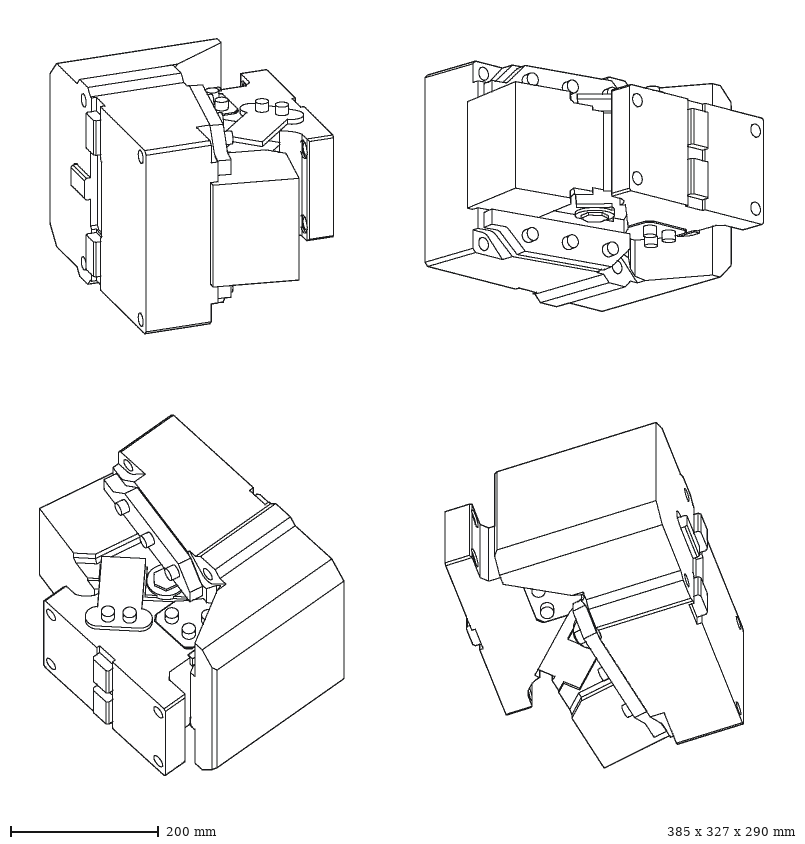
import cadquery as cq
import math

SLOPE_DEG = 10.0
WALL_DEG = 30.0
SIDE_HALF = 75.0
SHUT_HEIGHT = 309.0
KEY_WIDTH = 32.0
KEY_PROUD = 9.0
KEY_CHAMFER = 3.0
SCREW_HEAD_DIAMETER = 18.0
SCREW_HEAD_HEIGHT = 12.5
BOLT_DIAMETER = 18.0

slope = math.tan(math.radians(SLOPE_DEG))
wall_lean = math.tan(math.radians(WALL_DEG))

HOUSING_LEFT = -170.0
HOUSING_RIGHT = 185.0
HOUSING_HALF = 135.0
HOUSING_HEIGHT = 234.0
LEFT_CORNER_CHAMFER = 25.0
RIGHT_CORNER_CHAMFER = 5.0
TOP_EDGE_CHAMFER = 5.0
WALL_TOP_X = -130.0
VALLEY_Y = 139.5
SLOPE_START_X = -55.5
SLOPE_START_Y = 147.5
HEEL_PLATE_WIDTH = 9.0
HEEL_PLATE_HALF = 60.0

EAR_LEFT = -70.0
EAR_RIGHT = -20.0
EAR_PROUD = 10.0
EAR_HEIGHT = 136.0

BOLT_Z = 120.0
LEFT_BOLT_X = -45.0
RIGHT_BOLT_X = 165.0
RIGHT_SEAT_X = 167.5
RIGHT_SEAT_Y = 95.0
SEAT_RADIUS = 16.0

KEY_SLOT_DEPTH = 7.0
CENTRE_SLOT_WIDTH = 40.0
CENTRE_SLOT_LENGTH = 120.0
CENTRE_SLOT_CHAMFER = 5.0
CENTRE_SLOT_DEPTH = 10.0
SIDE_KEY_START_X = -70.0
HOUSING_KEY_LENGTH = 51.0
HOUSING_KEY_Z = 89.5

GIB_START_X = -45.0
GIB_LENGTH = 224.0
GIB_THICKNESS = 20.0
GIB_INNER_Z = 80.0
GIB_OUTER_Z = 131.0
GIB_CHAMFER = 30.0
GIB_NOTCH_START = 170.0
GIB_NOTCH_DROP = 27.0
GIB_NOTCH_RADIUS = 9.0
GIB_SCREWS = (36.0, 101.0, 166.0)
GIB_SCREW_Z = 109.0

FLANGE_LEFT = -155.0
FLANGE_RIGHT = 95.0
FLANGE_CENTRE = (FLANGE_LEFT + FLANGE_RIGHT) / 2
FLANGE_THICKNESS = 38.0
FLANGE_CHAMFER = 3.0
FLANGE_BOLT_SPACING_X = 220.0
FLANGE_BOLT_SPACING_Z = 110.0
SPOTFACE_DIAMETER = 25.0
SPOTFACE_DEPTH = 3.0
STEM_LEFT = -110.0
STEM_CHAMFER = 9.0
THROAT_TOP_X = 74.0
THROAT_MIDDLE = (60.7, 261.5)
THROAT_END = (53.5, 246.5)
DRIVE_FACE_OFFSET = 203.5
DRIVE_FACE_SUM = 300.0
DRIVER_KEY_SLOT_DEPTH = 5.0
DRIVER_KEY_LENGTH = 50.0
DRIVER_KEY_Z = 35.0

PAD_LEFT = -115.0
PAD_RIGHT = -105.5
PAD_TOP = 225.0
PLATE_RISE = 2.0

GUIDE_LEFT = -100.5
GUIDE_RIGHT = -25.5
GUIDE_TOP = 220.5
GUIDE_CHAMFER = 9.0
GUIDE_EDGE_STEP = 2.5
GUIDE_SCREWS = ((-80.0, 201.0), (-45.0, 201.0), (-80.0, 166.0))

LEVER_CENTRE = (1.1, 256.1)
LEVER_THICKNESS = 7.0
LEVER_END_RADIUS = 16.5
LEVER_HEAD_SPAN = 58.0
LEVER_WIDTH = 60.0
LEVER_REACH = 102.0
LEVER_SCREW_SPACING = 29.5

NOSE_BOTTOM_X = -48.0
NOSE_TOP_X = -29.8
SHOULDER_OFFSET = 161.0
HEAD_TOP_X = 74.3
HEAD_TOP_Y = 236.0
HEAD_RIGHT_X = 215.0
HEAD_TOE_X = 194.3
HEAD_TOE_Y = 94.0
BODY_HALF = 60.0
HEAD_WALL_OFFSET = 99.0
HEAD_WALL_CORNER_X = 106.5
HEAD_FOOT_CHAMFER = 5.0
STEP_DEPTH = 5.0
RECESS_END_OFFSET = 107.0
RECESS_CLEARANCE = 2.0
FACE_PLATE_OFFSET = 174.5
LEDGE_OFFSET = 141.0
BOLT_BOSS = (16.4, 157.0)
BOLT_BOSS_RADIUS = 26.5
BOLT_HEX_RADIUS = 18.8
BOLT_HEX_TURN = 19.0
BOLT_BOSS_HEIGHT = 4.0


def slope_y(x):
    """Height of the slide surface at x."""
    return SLOPE_START_Y - (x - SLOPE_START_X) * slope


def wall_x(y):
    """Position of the bare heel wall at height y."""
    return WALL_TOP_X + (HOUSING_HEIGHT - y) * wall_lean


def wall_y(x):
    """Height of the bare heel wall at x."""
    return HOUSING_HEIGHT - (x - WALL_TOP_X) / wall_lean


def plate_x(y):
    """Position of the heel wear plate surface at height y."""
    return wall_x(y) + HEEL_PLATE_WIDTH


def diagonal_point(offset, total):
    """Point with y - x = offset and x + y = total."""
    return ((total - offset) / 2, (total + offset) / 2)


def slab(points, half_width):
    """Outline in X and Y, extruded both ways from the mid plane."""
    return cq.Workplane("XY").polyline(points).close().extrude(half_width, both=True)


def layer(points, z_low, z_high):
    """Outline in X and Y, extruded from z_low to z_high."""
    return cq.Workplane("XY", origin=(0, 0, z_low)).polyline(points).close().extrude(z_high - z_low)


def box(x_range, y_range, z_range):
    sizes = [high - low for low, high in (x_range, y_range, z_range)]
    corner = (x_range[0], y_range[0], z_range[0])
    return cq.Workplane("XY").box(*sizes, centered=False).translate(corner)


def along_y(y):
    """Sketch plane at height y, sketched in X and Z; a negative extrusion goes to +Y."""
    return cq.Workplane("XZ", origin=(0, y, 0))


def screw_heads(points, z):
    plane = cq.Workplane("XY", origin=(0, 0, z)).pushPoints(points)
    return plane.circle(SCREW_HEAD_DIAMETER / 2).extrude(SCREW_HEAD_HEIGHT)


def both_sides(shape):
    return shape.union(shape.mirror("XY"))


def housing_block():
    block = slab(
        [
            (HOUSING_LEFT, 0),
            (HOUSING_LEFT, HOUSING_HEIGHT - TOP_EDGE_CHAMFER),
            (HOUSING_LEFT + TOP_EDGE_CHAMFER, HOUSING_HEIGHT),
            (WALL_TOP_X, HOUSING_HEIGHT),
            (wall_x(VALLEY_Y), VALLEY_Y),
            (plate_x(VALLEY_Y), VALLEY_Y),
            (SLOPE_START_X, SLOPE_START_Y),
            (HOUSING_RIGHT, slope_y(HOUSING_RIGHT)),
            (HOUSING_RIGHT, 0),
        ],
        HOUSING_HALF,
    )
    left_in = HOUSING_LEFT + LEFT_CORNER_CHAMFER
    right_in = HOUSING_RIGHT - RIGHT_CORNER_CHAMFER
    left_z = HOUSING_HALF - LEFT_CORNER_CHAMFER
    right_z = HOUSING_HALF - RIGHT_CORNER_CHAMFER
    footprint = [
        (HOUSING_LEFT, -left_z),
        (HOUSING_LEFT, left_z),
        (left_in, HOUSING_HALF),
        (right_in, HOUSING_HALF),
        (HOUSING_RIGHT, right_z),
        (HOUSING_RIGHT, -right_z),
        (right_in, -HOUSING_HALF),
        (left_in, -HOUSING_HALF),
    ]
    return block.intersect(along_y(0).polyline(footprint).close().extrude(-HOUSING_HEIGHT))


def heel_plate():
    """Wear plate on the leaning wall, between the side cheeks of the driver."""
    return slab(
        [
            (WALL_TOP_X, HOUSING_HEIGHT),
            (plate_x(HOUSING_HEIGHT), HOUSING_HEIGHT),
            (plate_x(VALLEY_Y), VALLEY_Y),
            (wall_x(VALLEY_Y), VALLEY_Y),
        ],
        HEEL_PLATE_HALF,
    )


def ears():
    outer = HOUSING_HALF + EAR_PROUD
    outline = [
        (EAR_LEFT, HOUSING_HALF),
        (EAR_LEFT + EAR_PROUD, outer),
        (EAR_RIGHT - EAR_PROUD, outer),
        (EAR_RIGHT, HOUSING_HALF),
    ]
    return both_sides(along_y(0).polyline(outline).close().extrude(-EAR_HEIGHT))


def left_bolt_seat():
    """Clearance over the bolts in the ears: a round-bottomed 90 degree V that opens outwards."""
    side = SEAT_RADIUS / math.sqrt(2)
    top = HOUSING_HALF + EAR_PROUD
    reach = side + top - (BOLT_Z - side)
    outline = (
        along_y(EAR_HEIGHT)
        .moveTo(LEFT_BOLT_X - reach, top)
        .lineTo(LEFT_BOLT_X - side, BOLT_Z - side)
        .threePointArc((LEFT_BOLT_X, BOLT_Z - SEAT_RADIUS), (LEFT_BOLT_X + side, BOLT_Z - side))
        .lineTo(LEFT_BOLT_X + reach, top)
        .close()
    )
    return both_sides(outline.extrude(-HOUSING_HEIGHT))


def right_bolt_seat():
    """Clearance over the bolts at the right end: sloping in, then flat out to the end face."""
    side = SEAT_RADIUS / math.sqrt(2)
    mid_side = SEAT_RADIUS * math.sin(math.pi / 8)
    mid_drop = SEAT_RADIUS * math.cos(math.pi / 8)
    reach = side + HOUSING_HALF - (BOLT_Z - side)
    outline = (
        along_y(RIGHT_SEAT_Y)
        .moveTo(RIGHT_SEAT_X - reach, HOUSING_HALF)
        .lineTo(RIGHT_SEAT_X - side, BOLT_Z - side)
        .threePointArc((RIGHT_SEAT_X - mid_side, BOLT_Z - mid_drop), (RIGHT_SEAT_X, BOLT_Z - SEAT_RADIUS))
        .lineTo(HOUSING_RIGHT, BOLT_Z - SEAT_RADIUS)
        .lineTo(HOUSING_RIGHT, HOUSING_HALF)
        .close()
    )
    return both_sides(outline.extrude(-HOUSING_HEIGHT))


def housing_bolt_holes():
    centres = [(x, z) for x in (LEFT_BOLT_X, RIGHT_BOLT_X) for z in (-BOLT_Z, BOLT_Z)]
    return along_y(0).pushPoints(centres).circle(BOLT_DIAMETER / 2).extrude(-HOUSING_HEIGHT)


def housing_key_slots():
    half = KEY_WIDTH / 2
    long_slot = along_y(0).rect(KEY_WIDTH, 2 * HOUSING_HALF).extrude(-KEY_SLOT_DEPTH)
    centre_slot = along_y(0).rect(CENTRE_SLOT_WIDTH, CENTRE_SLOT_LENGTH).extrude(-CENTRE_SLOT_DEPTH)
    centre_slot = centre_slot.edges("|Y").chamfer(CENTRE_SLOT_CHAMFER)
    side_slot = (
        along_y(0)
        .moveTo(0, half)
        .lineTo(SIDE_KEY_START_X, half)
        .threePointArc((SIDE_KEY_START_X - half, 0), (SIDE_KEY_START_X, -half))
        .lineTo(0, -half)
        .close()
        .extrude(-KEY_SLOT_DEPTH)
    )
    return long_slot.union(centre_slot).union(side_slot)


def housing_keys():
    half = KEY_WIDTH / 2
    depth = (-KEY_PROUD, KEY_SLOT_DEPTH)
    z_range = (HOUSING_KEY_Z - HOUSING_KEY_LENGTH / 2, HOUSING_KEY_Z + HOUSING_KEY_LENGTH / 2)
    upright = box((-half, half), depth, z_range).faces("<Y").edges("|Z").chamfer(KEY_CHAMFER)
    side = box((SIDE_KEY_START_X, -CENTRE_SLOT_WIDTH / 2), depth, (-half, half))
    side = side.faces("<Y").edges("|X").chamfer(KEY_CHAMFER)
    return both_sides(upright).union(side)


def gibs():
    """Retaining bars along both edges of the slide surface, with their screw heads."""
    frame = cq.Plane(
        origin=(GIB_START_X, slope_y(GIB_START_X), 0),
        xDir=(math.cos(math.radians(SLOPE_DEG)), -math.sin(math.radians(SLOPE_DEG)), 0),
        normal=(-math.sin(math.radians(SLOPE_DEG)), -math.cos(math.radians(SLOPE_DEG)), 0),
    )
    run = GIB_NOTCH_RADIUS * math.sin(math.pi / 4)
    mid_run = GIB_NOTCH_RADIUS * math.sin(math.pi / 8)
    floor_x = GIB_NOTCH_START + GIB_NOTCH_DROP + run
    drop_z = GIB_OUTER_Z - GIB_NOTCH_DROP
    floor_z = drop_z - GIB_NOTCH_RADIUS * (1 - math.cos(math.pi / 4))
    mid_z = floor_z + GIB_NOTCH_RADIUS * (1 - math.cos(math.pi / 8))
    bar = (
        cq.Workplane(frame)
        .moveTo(0, GIB_INNER_Z)
        .lineTo(0, GIB_OUTER_Z - GIB_CHAMFER)
        .lineTo(GIB_CHAMFER, GIB_OUTER_Z)
        .lineTo(GIB_NOTCH_START, GIB_OUTER_Z)
        .lineTo(GIB_NOTCH_START + GIB_NOTCH_DROP, drop_z)
        .threePointArc((floor_x - mid_run, mid_z), (floor_x, floor_z))
        .lineTo(GIB_LENGTH, floor_z)
        .lineTo(GIB_LENGTH, GIB_INNER_Z)
        .close()
        .extrude(-GIB_THICKNESS)
    )
    heads = (
        cq.Workplane(frame)
        .pushPoints([(distance, GIB_SCREW_Z) for distance in GIB_SCREWS])
        .circle(SCREW_HEAD_DIAMETER / 2)
        .extrude(-GIB_THICKNESS - SCREW_HEAD_HEIGHT)
    )
    return both_sides(bar.union(heads))


def make_housing():
    body = housing_block().union(heel_plate()).union(ears())
    body = body.cut(left_bolt_seat()).cut(right_bolt_seat())
    body = body.cut(housing_bolt_holes()).cut(housing_key_slots())
    return body.union(housing_keys()).union(gibs())


def driver_block():
    flange_y = SHUT_HEIGHT - FLANGE_THICKNESS
    heel_start_y = wall_y(STEM_LEFT - HEEL_PLATE_WIDTH)
    stem = (
        cq.Workplane("XY")
        .moveTo(STEM_LEFT - STEM_CHAMFER, SHUT_HEIGHT)
        .lineTo(STEM_LEFT - STEM_CHAMFER, flange_y)
        .lineTo(STEM_LEFT, flange_y - STEM_CHAMFER)
        .lineTo(STEM_LEFT, heel_start_y)
        .lineTo(plate_x(VALLEY_Y), VALLEY_Y)
        .lineTo(SLOPE_START_X, SLOPE_START_Y)
        .lineTo(NOSE_BOTTOM_X, slope_y(NOSE_BOTTOM_X))
        .lineTo(NOSE_TOP_X, NOSE_TOP_X + DRIVE_FACE_OFFSET)
        .lineTo(*diagonal_point(DRIVE_FACE_OFFSET, DRIVE_FACE_SUM))
        .lineTo(*THROAT_END)
        .threePointArc(THROAT_MIDDLE, (THROAT_TOP_X, flange_y))
        .lineTo(THROAT_TOP_X, SHUT_HEIGHT)
        .close()
        .extrude(SIDE_HALF, both=True)
    )
    flange = box((FLANGE_LEFT, FLANGE_RIGHT), (flange_y, SHUT_HEIGHT), (-SIDE_HALF, SIDE_HALF))
    flange = flange.edges("(<X or >X) and (not >Y)").chamfer(FLANGE_CHAMFER)
    return flange.union(stem)


def flange_bolt_holes():
    """Bolt holes through the flange, spotfaced on the side of the bolt heads."""
    under_side = (
        along_y(SHUT_HEIGHT - FLANGE_THICKNESS)
        .center(FLANGE_CENTRE, 0)
        .rect(FLANGE_BOLT_SPACING_X, FLANGE_BOLT_SPACING_Z, forConstruction=True)
        .vertices()
    )
    holes = under_side.circle(BOLT_DIAMETER / 2).extrude(-FLANGE_THICKNESS)
    return holes.union(under_side.circle(SPOTFACE_DIAMETER / 2).extrude(-SPOTFACE_DEPTH))


def driver_key_slot():
    half = KEY_WIDTH / 2
    return box(
        (FLANGE_CENTRE - half, FLANGE_CENTRE + half),
        (SHUT_HEIGHT - DRIVER_KEY_SLOT_DEPTH, SHUT_HEIGHT),
        (-SIDE_HALF, SIDE_HALF),
    )


def driver_keys():
    half = KEY_WIDTH / 2
    key = box(
        (FLANGE_CENTRE - half, FLANGE_CENTRE + half),
        (SHUT_HEIGHT - DRIVER_KEY_SLOT_DEPTH, SHUT_HEIGHT + KEY_PROUD),
        (DRIVER_KEY_Z - DRIVER_KEY_LENGTH / 2, DRIVER_KEY_Z + DRIVER_KEY_LENGTH / 2),
    )
    return both_sides(key.faces(">Y").edges("|Z").chamfer(KEY_CHAMFER))


def heel_cheeks():
    """Strips on both sides of the heel plate that reach the bare wall, with a raised pad on top."""
    strip = [
        (PAD_LEFT, PAD_TOP),
        (PAD_RIGHT, PAD_TOP),
        (plate_x(VALLEY_Y), VALLEY_Y),
        (wall_x(VALLEY_Y), VALLEY_Y),
        (PAD_LEFT, wall_y(PAD_LEFT)),
    ]
    pad = [
        (PAD_LEFT, PAD_TOP),
        (PAD_RIGHT, PAD_TOP),
        (PAD_RIGHT, wall_y(PAD_RIGHT)),
        (PAD_LEFT, wall_y(PAD_LEFT)),
    ]
    cheek = layer(strip, HEEL_PLATE_HALF, SIDE_HALF)
    return both_sides(cheek.union(layer(pad, HEEL_PLATE_HALF, SIDE_HALF + PLATE_RISE)))


def guide_plates():
    """Screwed guide plate on each side of the stem, with stepped corners and screw heads."""
    def outline(chamfer):
        return [
            (wall_x(VALLEY_Y), VALLEY_Y),
            (GUIDE_LEFT, wall_y(GUIDE_LEFT)),
            (GUIDE_LEFT, GUIDE_TOP - chamfer),
            (GUIDE_LEFT + chamfer, GUIDE_TOP),
            (GUIDE_RIGHT - chamfer, GUIDE_TOP),
            (GUIDE_RIGHT, GUIDE_TOP - chamfer),
            (GUIDE_RIGHT, GUIDE_RIGHT + DRIVE_FACE_OFFSET),
            (NOSE_TOP_X, NOSE_TOP_X + DRIVE_FACE_OFFSET),
            (NOSE_BOTTOM_X, slope_y(NOSE_BOTTOM_X)),
            (SLOPE_START_X, SLOPE_START_Y),
            (plate_x(VALLEY_Y), VALLEY_Y),
        ]

    face_z = SIDE_HALF + PLATE_RISE
    step_z = SIDE_HALF + PLATE_RISE / 2
    lower = layer(outline(GUIDE_CHAMFER - GUIDE_EDGE_STEP), HEEL_PLATE_HALF, step_z)
    upper = layer(outline(GUIDE_CHAMFER), HEEL_PLATE_HALF, face_z)
    return both_sides(lower.union(upper).union(screw_heads(GUIDE_SCREWS, face_z)))


def lever():
    """Hammer-shaped strap screwed on the driver and reaching over the slider."""
    face_z = SIDE_HALF + LEVER_THICKNESS
    plane = cq.Workplane("XY", origin=(0, 0, SIDE_HALF))
    head = plane.slot2D(LEVER_HEAD_SPAN + 2 * LEVER_END_RADIUS, 2 * LEVER_END_RADIUS, 0)
    head = head.extrude(LEVER_THICKNESS)
    handle = box(
        (-LEVER_WIDTH / 2, LEVER_WIDTH / 2),
        (-LEVER_REACH, 0),
        (SIDE_HALF, face_z),
    )
    screws = screw_heads([(-LEVER_SCREW_SPACING / 2, 0), (LEVER_SCREW_SPACING / 2, 0)], face_z)
    strap = head.union(handle).union(screws)
    return strap.rotate((0, 0, 0), (0, 0, 1), 45).translate((*LEVER_CENTRE, 0))


def make_driver():
    body = driver_block().cut(flange_bolt_holes()).cut(driver_key_slot())
    body = body.union(driver_keys()).union(heel_cheeks()).union(guide_plates())
    return body.union(lever())


def slider_outline():
    return [
        (NOSE_BOTTOM_X, slope_y(NOSE_BOTTOM_X)),
        (NOSE_TOP_X, NOSE_TOP_X + DRIVE_FACE_OFFSET),
        diagonal_point(DRIVE_FACE_OFFSET, DRIVE_FACE_SUM),
        diagonal_point(SHOULDER_OFFSET, DRIVE_FACE_SUM),
        (HEAD_TOP_X, HEAD_TOP_Y),
        (HEAD_RIGHT_X, HEAD_TOP_Y - (HEAD_RIGHT_X - HEAD_TOP_X) * slope),
        (HEAD_TOE_X, HEAD_TOE_Y),
        (HOUSING_RIGHT, HEAD_TOE_Y),
        (HOUSING_RIGHT, slope_y(HOUSING_RIGHT)),
    ]


def head_region(shift):
    """Area of the thick head, grown by shift towards the nose."""
    far = 2 * HEAD_RIGHT_X
    offset = HEAD_WALL_OFFSET + shift * math.sqrt(2)
    corner_x = HEAD_WALL_CORNER_X - shift
    corner_y = corner_x + offset
    return [(corner_x, corner_y), (far, far + offset), (far, 0), (corner_x - corner_y * slope, 0)]


def head_foot():
    """Head wall down to the body, with a sloping foot."""
    top_z = BODY_HALF + HEAD_FOOT_CHAMFER
    wide = cq.Workplane("XY", origin=(0, 0, BODY_HALF)).polyline(head_region(HEAD_FOOT_CHAMFER)).close()
    foot = wide.workplane(offset=HEAD_FOOT_CHAMFER).polyline(head_region(0)).close().loft(ruled=True)
    return foot.union(layer(head_region(0), top_z, SIDE_HALF))


def diagonal_band(offsets, totals, z_low):
    """Rectangle at 45 degrees between two y - x and two x + y values, up to the slider side."""
    corners = [
        diagonal_point(offsets[0], totals[0]),
        diagonal_point(offsets[1], totals[0]),
        diagonal_point(offsets[1], totals[1]),
        diagonal_point(offsets[0], totals[1]),
    ]
    return layer(corners, z_low, BODY_HALF)


def side_recesses():
    """Shallow steps in the slider side: lever recess, drive face plate and ledge."""
    lever_sum = LEVER_CENTRE[0] + LEVER_CENTRE[1]
    recess_half = (LEVER_WIDTH / 2 + RECESS_CLEARANCE) * math.sqrt(2)
    lever_band = (lever_sum - recess_half, lever_sum + recess_half)
    floor_z = BODY_HALF - STEP_DEPTH
    recess = diagonal_band((RECESS_END_OFFSET, DRIVE_FACE_OFFSET), lever_band, floor_z)
    face_plate = diagonal_band((FACE_PLATE_OFFSET, DRIVE_FACE_OFFSET), (0, DRIVE_FACE_SUM), floor_z)
    ledge = diagonal_band((LEDGE_OFFSET, DRIVE_FACE_OFFSET), (lever_sum, 2 * DRIVE_FACE_SUM), floor_z)
    return both_sides(recess.union(face_plate).union(ledge))


def slider_bolt():
    """Round boss with a hexagon head on the slider side."""
    plane = cq.Workplane("XY", origin=(*BOLT_BOSS, 0))
    boss = plane.circle(BOLT_BOSS_RADIUS).extrude(BODY_HALF + BOLT_BOSS_HEIGHT)
    hexagon = plane.transformed(rotate=(0, 0, BOLT_HEX_TURN)).polygon(6, 2 * BOLT_HEX_RADIUS)
    head = hexagon.extrude(BODY_HALF + 2 * BOLT_BOSS_HEIGHT)
    return boss.union(head)


def make_slider():
    outline = slider_outline()
    body = slab(outline, BODY_HALF).cut(side_recesses())
    extras = both_sides(head_foot().union(slider_bolt()))
    return body.union(extras.intersect(slab(outline, SIDE_HALF)))


housing = make_housing()
driver = make_driver()
slider = make_slider()

result = cq.Compound.makeCompound([body.solids().val() for body in (housing, driver, slider)])